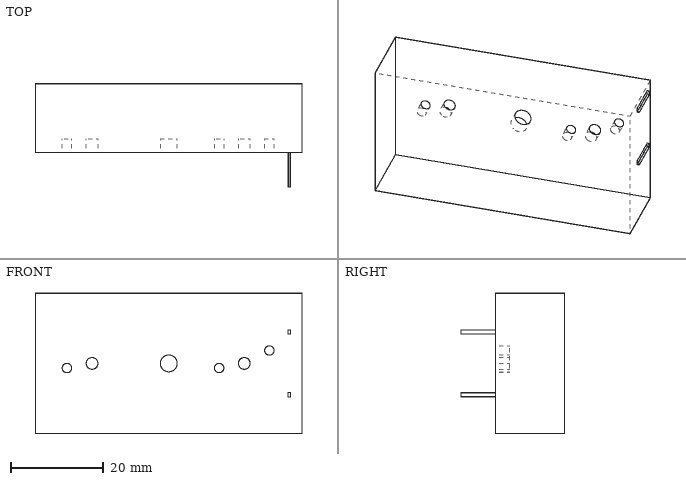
import cadquery as cq


body_width = 57.91
body_depth = 14.99
body_height = 30.48

pin_length = 7.5
pin_thickness = 0.5
pin_height = 0.9
pin_x = 26.15
pin_spacing = 13.6

hole_depth = 3.0
centre_hole_diameter = 3.65
main_hole_diameter = 2.55
small_hole_diameter = 2.05

main_hole_spacing = 33.02
main_holes_x = -0.13
hole_step_x = 5.45
low_hole_z = -1.0
high_hole_z = 2.8

left_main_x = main_holes_x - main_hole_spacing / 2
right_main_x = main_holes_x + main_hole_spacing / 2

holes = [
    (0, 0, centre_hole_diameter),
    (left_main_x, 0, main_hole_diameter),
    (right_main_x, 0, main_hole_diameter),
    (left_main_x - hole_step_x, low_hole_z, small_hole_diameter),
    (right_main_x - hole_step_x, low_hole_z, small_hole_diameter),
    (right_main_x + hole_step_x, high_hole_z, small_hole_diameter),
]


def make_body():
    """Block running back (+Y) from the front face."""
    return cq.Workplane("XY").box(body_width, body_depth, body_height, centered=(True, False, True))


def make_pin(z):
    """Flat pin running forward (-Y) from the front face."""
    return (
        cq.Workplane("XZ")
        .center(pin_x, z)
        .rect(pin_thickness, pin_height)
        .extrude(pin_length)
    )


def make_hole(x, z, diameter):
    """Cylinder running back (+Y) from the front face, to be cut away."""
    return cq.Workplane("XZ").center(x, z).circle(diameter / 2).extrude(-hole_depth)


result = make_body()
for x, z, diameter in holes:
    result = result.cut(make_hole(x, z, diameter))
for pin_z in (-pin_spacing / 2, pin_spacing / 2):
    result = result.union(make_pin(pin_z))